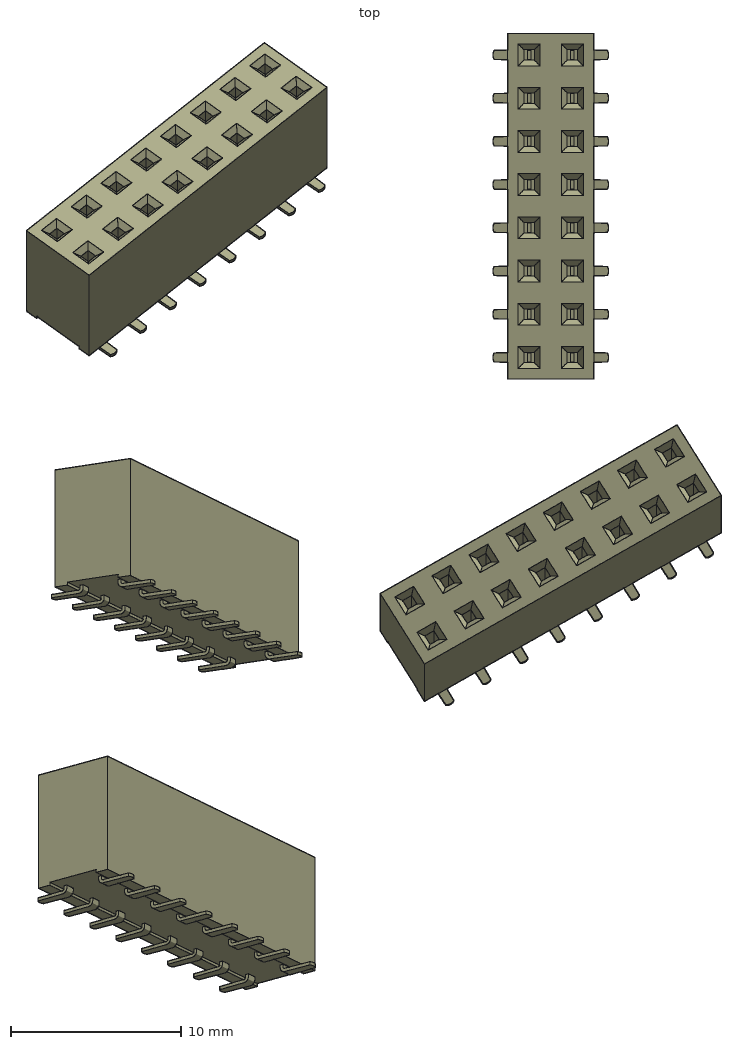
import cadquery as cq

length = 20.32
height = 7.45
pin_span = 6.8

rows = 8
sides = (-1, 1)
pitch = length / rows

body_width = len(sides) * pitch
standoff = 0.3
foot_height = 0.18
foot_width = 0.83

mouth_size = 1.28
socket_size = 0.6
funnel_depth = (mouth_size - socket_size) / 2
socket_depth = 4.06

pin_width = 0.63
blade_width = 0.55
tip_width = 0.55
pin_thickness = 0.2
bend_inner_radius = 0.12
bend_outer_radius = bend_inner_radius + pin_thickness
tip_bulge = 0.08
blade_rise = 1.22

column_x = pitch / 2
socket_floor = height - socket_depth


def contact_places():
    """X side (-1 or +1) and Y position of every contact."""
    return [(side, (row - (rows - 1) / 2) * pitch) for side in sides for row in range(rows)]


def make_housing():
    """Block standing on two full-length feet along its long edges."""
    base = cq.Workplane("XY", origin=(0, 0, standoff))
    housing = base.rect(body_width, length).extrude(height - standoff)
    channel = base.rect(body_width - 2 * foot_width, length).extrude(foot_height)
    return housing.cut(channel)


def make_socket(side, y):
    """Square blind socket with a tapered mouth."""
    x = side * column_x
    shaft = (
        cq.Workplane("XY", origin=(x, y, socket_floor))
        .rect(socket_size, socket_size)
        .extrude(socket_depth)
    )
    funnel = (
        cq.Workplane("XY", origin=(x, y, height))
        .rect(mouth_size, mouth_size)
        .workplane(offset=-funnel_depth)
        .rect(socket_size, socket_size)
        .loft(ruled=True)
    )
    return shaft.union(funnel)


def make_pin():
    """L-shaped pin for the +X column, centred on Y = 0, with its tail pointing to +X."""
    inner_x = column_x - pin_thickness / 2
    outer_x = inner_x + pin_thickness
    tail_start = outer_x + bend_inner_radius
    tip_x = pin_span / 2
    tip_corner_x = tip_x - tip_bulge
    leg = (
        cq.Workplane("XZ", origin=(0, pin_width / 2, 0))
        .moveTo(inner_x, socket_floor)
        .lineTo(inner_x, bend_outer_radius)
        .radiusArc((inner_x + bend_outer_radius, 0), -bend_outer_radius)
        .lineTo(tail_start, pin_thickness)
        .radiusArc((outer_x, bend_outer_radius), bend_inner_radius)
        .lineTo(outer_x, socket_floor)
        .close()
        .extrude(pin_width)
    )
    tail = (
        cq.Workplane("XY")
        .moveTo(tail_start, -pin_width / 2)
        .lineTo(tip_corner_x, -tip_width / 2)
        .threePointArc((tip_x, 0), (tip_corner_x, tip_width / 2))
        .lineTo(tail_start, pin_width / 2)
        .close()
        .extrude(pin_thickness)
    )
    blade = (
        cq.Workplane("XY", origin=(column_x, 0, socket_floor))
        .rect(pin_thickness, blade_width)
        .extrude(blade_rise)
    )
    return leg.union(tail).union(blade)


result = make_housing()
for side, y in contact_places():
    result = result.cut(make_socket(side, y))

right_pin = make_pin()
left_pin = right_pin.mirror("YZ")
for side, y in contact_places():
    pin = right_pin if side > 0 else left_pin
    result = result.union(pin.translate((0, y, 0)))